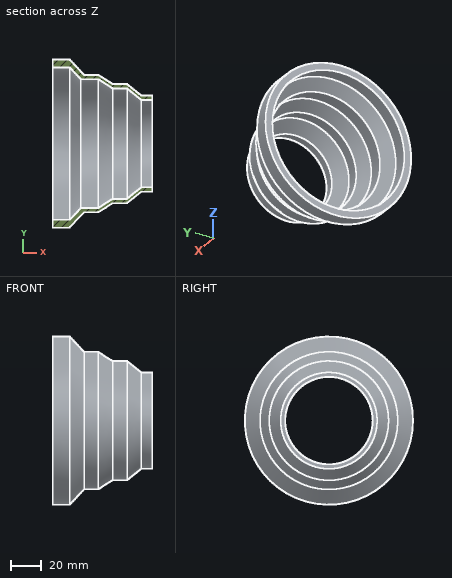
import cadquery as cq

outer_diameters = [110.0, 90.0, 78.0, 63.0]
bore_diameters = [99.4, 84.0, 72.0, 57.0]

total_length = 65.0
rim_length = 11.1
segment_length = 9.4
first_bore_cone = 7.3


def step_spans(first_cone_length):
    """Start and end along X of every straight step; cones fill the gaps."""
    return [
        (0, rim_length),
        (rim_length + first_cone_length, rim_length + 2 * segment_length),
        (rim_length + 3 * segment_length, rim_length + 4 * segment_length),
        (rim_length + 5 * segment_length, total_length),
    ]


def stepped_solid(diameters, first_cone_length):
    """Solid of straight steps joined by cones, one step per diameter."""
    profile = [(0, 0)]
    for (start, end), diameter in zip(step_spans(first_cone_length), diameters):
        profile.append((start, diameter / 2))
        profile.append((end, diameter / 2))
    profile.append((total_length, 0))
    return cq.Workplane("XY").polyline(profile).close().revolve(360, (0, 0, 0), (1, 0, 0))


body = stepped_solid(outer_diameters, segment_length)
bore = stepped_solid(bore_diameters, first_bore_cone)
result = body.cut(bore)